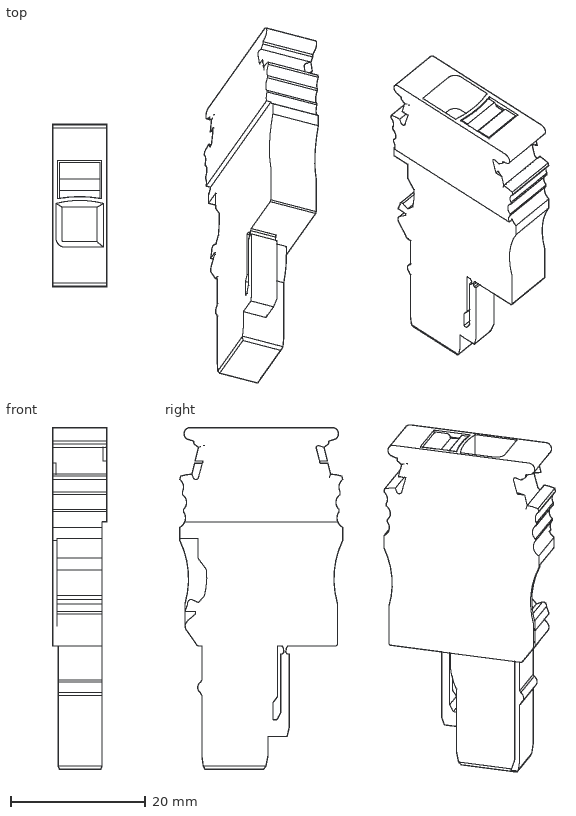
import cadquery as cq

HEIGHT = 50.95
DEPTH = 24.3
WIDTH = 8.1
HALF_DEPTH = DEPTH / 2
MID_X = WIDTH / 2
MARGIN = 0.5

HOUSING_BOTTOM = 18.4
HOUSING_SIDE = 11.35
FLANGE_WIDTH = 0.65
LOWER_WIDTH = 7.4
STEP_Z = 36.9
HEAD_FLAT = 10.55
BOTTOM_FRONT = -9.4
BAR_Z = 21.4
LIP_Z = 24.65

SLOT_TOP = 48.15
SLOT_BOTTOM = 43.3
SLOT_DEPTH = 1.15
SLOT_FACE_TOP = (9.4, 48.0)
SLOT_FACE_BOTTOM = (10.35, 44.0)
UPPER_LUG_BOTTOM = 45.95
LOWER_LUG_TOP = 45.65
SLOT_END_ROUND = 0.1
UPPER_LUG_WIDTH = 0.6
LOWER_LUG_WIDTH = 0.5

BUTTON_X = (0.75, 7.3)
BUTTON_BACK = 6.65
BUTTON_FRONT_CORNER = 1.0
BUTTON_FRONT_MIDDLE = 1.3
BUTTON_GAP = 0.25
BUTTON_GAP_DEPTH = 0.75
BUTTON_DROP = 0.15
GROOVE_DEPTH = 0.65

SHAFT_DEPTH = 7.15
FUNNEL_DEPTH = 9.15
FUNNEL_X = (0.5, 7.6)
FUNNEL_FRONT = -6.2
FUNNEL_BACK_CORNER = 0.3
FUNNEL_BACK_MIDDLE = 0.75
FUNNEL_CORNER = 1.3
FLOOR_X = (1.45, 6.6)
FLOOR_Y = (-5.4, -0.25)
FLOOR_CORNER = 0.15

LEG_X = (0.8, LOWER_WIDTH)
LEG_FRONT = -8.85
LEG_BACK = 1.0
LEG_CHAMFER = 0.5
LEG_CHAMFER_WIDTH = 0.2
LEG_TAPER = 2.05
STRIP_WIDTH = 0.75
STRIP_SETBACK = 0.1
ARM_LEFT = 3.3
ARM_BACK = 4.2
ARM_BOTTOM = 4.9
ARM_CHAMFER_HEIGHT = 1.4
ARM_CHAMFER_WIDTH = 0.4
ARM_TOP = 17.2


def prism(sketch, x_start, x_end):
    """Extrude a closed outline in the YZ plane from x_start to x_end."""
    return sketch.close().extrude(x_end - x_start).translate((x_start, 0, 0))


def yz_polygon(points, x_start, x_end):
    return prism(cq.Workplane("YZ").polyline(points), x_start, x_end)


def draw_side(sketch, side, upward):
    """Draw one grooved flank of the housing between its straight lower side and the top face."""
    steps = [
        ((HOUSING_SIDE, 24.75),),
        ((10.85, 28.3), (HALF_DEPTH, 34.15)),
        ((HALF_DEPTH, 36.05),),
        ((11.9, 36.2),),
        ((11.3, 37.4), (11.6, 38.4)),
        ((11.6, 38.7),),
        ((11.15, 39.95), (11.75, 40.95)),
        ((11.75, 41.35),),
        ((11.6, 42.3), (HALF_DEPTH, 43.2)),
        ((12.0, 43.7),),
        ((11.2, 43.9),),
        (SLOT_FACE_BOTTOM,),
        (SLOT_FACE_TOP,),
        ((10.05, 48.5),),
        ((10.1, 48.9),),
        ((11.05, 49.2),),
        ((11.5, 50.05), (HEAD_FLAT, HEIGHT)),
    ]
    if not upward:
        ends = [step[-1] for step in steps]
        steps = [step[:-1] + (end,) for step, end in zip(steps[1:], ends)][::-1]
    for step in steps:
        points = [(side * half, z) for half, z in step]
        if len(points) == 1:
            sketch = sketch.lineTo(*points[0])
        else:
            sketch = sketch.threePointArc(*points)
    return sketch


def make_housing():
    corner = 0.2
    sketch = cq.Workplane("YZ").moveTo(BOTTOM_FRONT, HOUSING_BOTTOM)
    sketch = sketch.lineTo(HOUSING_SIDE - corner, HOUSING_BOTTOM)
    sketch = sketch.lineTo(HOUSING_SIDE, HOUSING_BOTTOM + corner)
    sketch = draw_side(sketch, 1, upward=True)
    sketch = sketch.lineTo(-HEAD_FLAT, HEIGHT)
    sketch = draw_side(sketch, -1, upward=False)
    sketch = sketch.lineTo(-HOUSING_SIDE, BAR_Z)
    sketch = sketch.threePointArc((-11.3, 21.05), (-11.1, 20.7))
    sketch = sketch.lineTo(-9.8, 18.8)
    sketch = sketch.threePointArc((-9.65, 18.55), (BOTTOM_FRONT, HOUSING_BOTTOM))
    housing = prism(sketch, 0, WIDTH)
    step = cq.Workplane("XY").box(WIDTH, DEPTH + MARGIN, STEP_Z, centered=(False, True, False))
    return housing.cut(step.translate((LOWER_WIDTH, 0, 0)))


def slot_face_half_depth(z):
    """Half depth of the slanted housing face under the head at height z."""
    (top, top_z), (bottom, bottom_z) = SLOT_FACE_TOP, SLOT_FACE_BOTTOM
    return top + (bottom - top) * (top_z - z) / (top_z - bottom_z)


def make_slot():
    """Slot across the -Y face, following its slope."""
    inner_top = slot_face_half_depth(SLOT_TOP) - SLOT_DEPTH
    inner_bottom = slot_face_half_depth(SLOT_BOTTOM) - SLOT_DEPTH
    outer_top = SLOT_FACE_TOP[0]
    round_drop = 0.25
    sketch = (
        cq.Workplane("YZ")
        .moveTo(-inner_bottom, SLOT_BOTTOM + round_drop)
        .lineTo(-inner_top, SLOT_TOP - round_drop)
        .threePointArc((-inner_top - 0.1, SLOT_TOP), (-inner_top - 0.4, SLOT_TOP + SLOT_END_ROUND))
        .lineTo(-outer_top, SLOT_FACE_TOP[1])
        .lineTo(-outer_top - MARGIN, SLOT_FACE_TOP[1])
        .lineTo(-SLOT_FACE_BOTTOM[0] - MARGIN, SLOT_FACE_BOTTOM[1])
        .lineTo(-SLOT_FACE_BOTTOM[0], SLOT_FACE_BOTTOM[1])
        .lineTo(-inner_bottom - 0.8, SLOT_BOTTOM + round_drop)
        .threePointArc(
            (-inner_bottom - 0.4, SLOT_BOTTOM - SLOT_END_ROUND),
            (-inner_bottom, SLOT_BOTTOM + round_drop),
        )
    )
    return prism(sketch, -MARGIN, WIDTH + MARGIN)


def make_lug(x_tip, x_side, z_bottom, z_top):
    """Wedge in the slot: flush with the housing at x_side, running out to nothing at x_tip."""

    def wedge_points(z):
        outer = -slot_face_half_depth(z)
        inner = outer + SLOT_DEPTH
        return [(x_tip, inner), (x_side, outer), (x_side, inner + MARGIN), (x_tip, inner + MARGIN)]

    lug = cq.Workplane("XY").workplane(offset=z_bottom).polyline(wedge_points(z_bottom)).close()
    lug = lug.workplane(offset=z_top - z_bottom).polyline(wedge_points(z_top)).close()
    return lug.loft(ruled=True)


def add_latches(housing):
    """Slot and two wedge lugs on the -Y face, repeated half a turn about Z on the +Y face."""
    slot = make_slot()
    upper_lug = make_lug(WIDTH - UPPER_LUG_WIDTH, WIDTH, UPPER_LUG_BOTTOM, SLOT_TOP + SLOT_END_ROUND)
    lower_lug = make_lug(LOWER_LUG_WIDTH, 0, SLOT_BOTTOM - SLOT_END_ROUND, LOWER_LUG_TOP)
    for angle in (0, 180):
        axis = ((MID_X, 0, 0), (MID_X, 0, 1))
        housing = housing.cut(slot.rotate(*axis, angle))
        for lug in (upper_lug, lower_lug):
            housing = housing.union(lug.rotate(*axis, angle))
    return housing


def make_front_recesses():
    """Finger recess and the groove below its lip, open to -Y and +X beside the thin flange."""
    outside = -HALF_DEPTH - MARGIN
    lip_edge = -10.95
    ledge = -9.8
    recess_back = -9.45
    finger = (
        cq.Workplane("YZ")
        .moveTo(outside, 34.4)
        .lineTo(recess_back, 34.4)
        .lineTo(recess_back, 31.5)
        .lineTo(-8.15, 29.75)
        .threePointArc((-8.15, 27.8), (-8.45, 25.9))
        .lineTo(-9.4, 24.85)
        .lineTo(-10.35, 25.3)
        .threePointArc((-10.85, 25.1), (lip_edge, LIP_Z))
        .lineTo(outside, LIP_Z)
    )
    groove = (
        cq.Workplane("YZ")
        .moveTo(outside, LIP_Z)
        .lineTo(lip_edge, LIP_Z)
        .lineTo(-HOUSING_SIDE, 23.55)
        .lineTo(ledge, 23.55)
        .lineTo(ledge, 23.2)
        .lineTo(-10.8, 22.3)
        .tangentArcPoint((-HOUSING_SIDE, BAR_Z), relative=False)
        .lineTo(outside, BAR_Z)
    )
    end = WIDTH + MARGIN
    return prism(finger, FLANGE_WIDTH, end).union(prism(groove, FLANGE_WIDTH, end))


def button_area(inset, z_bottom):
    """Block over the button, bounded by an arched edge towards the funnel."""
    left = BUTTON_X[0] + inset
    right = BUTTON_X[1] - inset
    return (
        cq.Workplane("XY")
        .workplane(offset=z_bottom)
        .moveTo(left, BUTTON_FRONT_CORNER)
        .threePointArc((MID_X, BUTTON_FRONT_MIDDLE), (right, BUTTON_FRONT_CORNER))
        .lineTo(right, BUTTON_BACK - inset)
        .lineTo(left, BUTTON_BACK - inset)
        .close()
        .extrude(HEIGHT + MARGIN - z_bottom)
    )


def make_button_cut():
    """Gap around the button, the drop of its top face and the thumb groove across it."""
    gap = button_area(0, HEIGHT - BUTTON_GAP_DEPTH)
    button = button_area(BUTTON_GAP, HEIGHT - BUTTON_GAP_DEPTH)
    top = HEIGHT - BUTTON_DROP
    groove_floor = top - GROOVE_DEPTH
    groove = prism(
        cq.Workplane("YZ")
        .moveTo(4.6, top + MARGIN)
        .lineTo(4.6, top)
        .threePointArc((4.2, top - 0.2), (3.95, groove_floor))
        .lineTo(3.35, groove_floor)
        .tangentArcPoint((2.25, top), relative=False)
        .lineTo(2.25, top + MARGIN),
        BUTTON_X[0],
        BUTTON_X[1],
    )
    drop = button_area(0, top)
    return gap.cut(button).union(drop).union(groove.intersect(button_area(BUTTON_GAP, groove_floor)))


def funnel_outline(sketch, x_range, front, back_corner, back_middle, corner):
    left, right = x_range
    return (
        sketch.moveTo(right, front)
        .lineTo(right, back_corner)
        .threePointArc((MID_X, back_middle), (left, back_corner))
        .lineTo(left, front + corner)
        .threePointArc((left + 0.3 * corner, front + 0.3 * corner), (left + corner, front))
        .close()
    )


def make_funnel():
    """Straight shaft that tapers to a smaller, nearly square floor."""
    floor_bulge = 0.05
    shaft_plane = cq.Workplane("XY").workplane(offset=HEIGHT - SHAFT_DEPTH)
    mouth = (FUNNEL_X, FUNNEL_FRONT, FUNNEL_BACK_CORNER, FUNNEL_BACK_MIDDLE, FUNNEL_CORNER)
    floor = (FLOOR_X, FLOOR_Y[0], FLOOR_Y[1], FLOOR_Y[1] + floor_bulge, FLOOR_CORNER)
    shaft = funnel_outline(shaft_plane, *mouth).extrude(SHAFT_DEPTH + MARGIN)
    taper = funnel_outline(shaft_plane, *mouth).workplane(offset=SHAFT_DEPTH - FUNNEL_DEPTH)
    taper = funnel_outline(taper, *floor).loft(ruled=True)
    return shaft.union(taper)


def make_leg():
    """Coding leg with a latching nub on -Y and a set-back strip along its front edge."""
    left, right = LEG_X
    top = HOUSING_BOTTOM + MARGIN
    sketch = (
        cq.Workplane("YZ")
        .moveTo(LEG_FRONT, top)
        .lineTo(LEG_FRONT, 13.35)
        .lineTo(-9.0, 13.05)
        .threePointArc((-9.5, 12.25), (-9.1, 11.45))
        .lineTo(LEG_FRONT, 11.0)
        .lineTo(LEG_FRONT, LEG_TAPER)
        .lineTo(-8.65, LEG_CHAMFER)
        .lineTo(-8.4, 0)
        .lineTo(0.35, 0)
        .lineTo(0.7, LEG_CHAMFER)
        .lineTo(LEG_BACK, LEG_TAPER)
        .lineTo(LEG_BACK, 12.3)
        .threePointArc((1.7, 14.05), (2.0, 15.75))
        .lineTo(2.0, top)
    )
    leg = prism(sketch, left, right)
    leg = leg.faces("<Z").edges("<X or >X").chamfer(LEG_CHAMFER_WIDTH, LEG_CHAMFER)
    strip_back = LEG_FRONT + STRIP_WIDTH
    strip = [
        (strip_back, HOUSING_BOTTOM),
        (strip_back, LEG_TAPER),
        (strip_back + 0.65, 0),
        (LEG_FRONT - 2 * MARGIN, 0),
        (LEG_FRONT - 2 * MARGIN, HOUSING_BOTTOM),
    ]
    return leg.cut(yz_polygon(strip, left - MARGIN, left + STRIP_SETBACK))


def make_arm():
    """Back plate of the leg with the spring arm that rises from it and a thin neck to the housing."""
    top = HOUSING_BOTTOM + MARGIN
    inside = LEG_BACK - MARGIN
    plate = [
        (inside, top), (2.45, top), (2.45, 10.85), (1.8, 10.0), (1.8, 7.45), (2.35, 7.45),
        (2.9, 8.5), (2.9, ARM_TOP), (ARM_BACK, ARM_TOP),
        (ARM_BACK, ARM_BOTTOM + ARM_CHAMFER_HEIGHT), (3.85, ARM_BOTTOM), (inside, ARM_BOTTOM),
    ]
    neck = [
        (3.05, HOUSING_BOTTOM), (3.25, 18.15), (3.35, 17.5), (3.15, ARM_TOP),
        (3.85, ARM_TOP), (3.65, 17.5), (3.75, 18.15), (3.95, HOUSING_BOTTOM),
    ]
    arm = yz_polygon(plate, ARM_LEFT, LEG_X[1])
    arm = arm.faces("<Z").edges("<X").chamfer(ARM_CHAMFER_WIDTH, ARM_CHAMFER_HEIGHT)
    return arm.union(yz_polygon(neck, ARM_LEFT, LEG_X[1]))


housing = add_latches(make_housing())
housing = housing.cut(make_front_recesses()).cut(make_button_cut()).cut(make_funnel())
result = housing.union(make_leg()).union(make_arm())